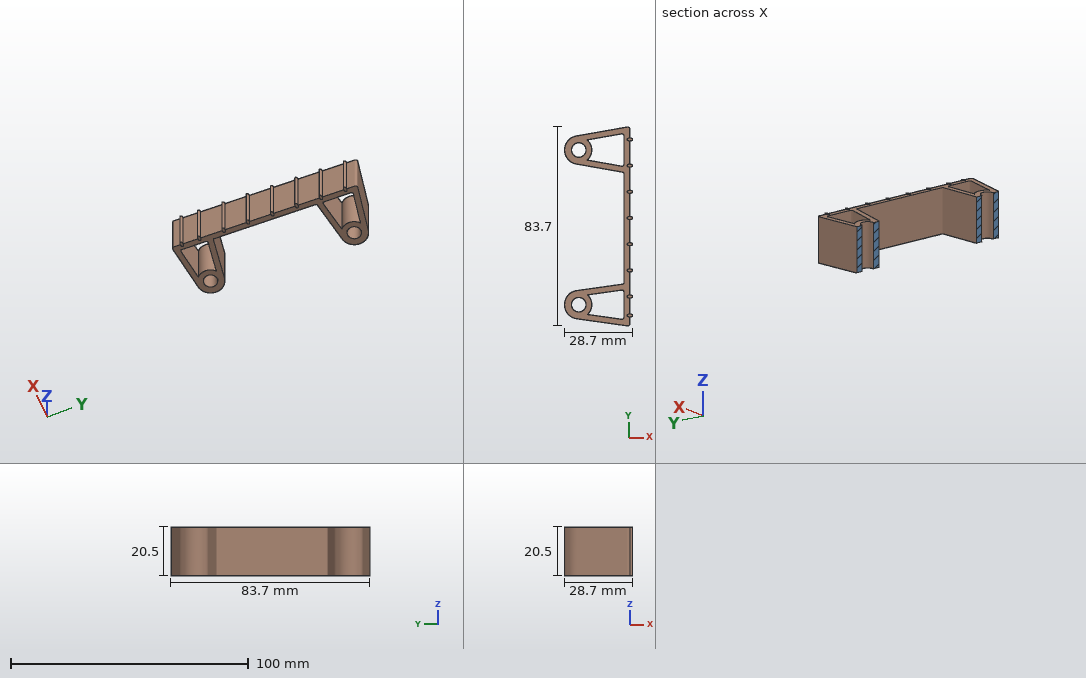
import cadquery as cq
import math

length = 83.7
height = 20.5
frame_depth = 27.5
wall = 2.5
wall_inner_x = frame_depth - wall

nose_radius = 6.0
nose_x = nose_radius
hole_diameter = 6.0
boss_radius = hole_diameter / 2 + wall
upper_arm_angle = 10.0
lower_arm_angle = 8.0
corner_radius = 1.0
pocket_corner_radius = 0.8
inside_corner_radius = 0.5

overall_depth = 28.7
strip_half_length = overall_depth - frame_depth
strip_width = 1.3
first_strip_y = 36.6
last_regular_strip_y = -29.45
regular_strip_count = 7
strip_pitch = (first_strip_y - last_regular_strip_y) / (regular_strip_count - 1)
last_strip_y = -37.4
strip_places = [first_strip_y - i * strip_pitch for i in range(regular_strip_count)] + [last_strip_y]


def bracket_center(arm_angle):
    """Distance of the nose centre from Y = 0 that puts the rounded outer corner at the frame's end."""
    angle = math.radians(arm_angle)
    corner_center_x = frame_depth - corner_radius
    arm_rise = (nose_radius - corner_radius) / math.cos(angle) + (corner_center_x - nose_x) * math.tan(angle)
    return length / 2 - corner_radius - arm_rise


def tapered_outline(radius, arm_angle, end_x, center_y):
    """Prism with a round nose and straight sides tangent to it, cut off at end_x."""
    angle = math.radians(arm_angle)
    tangent_x = nose_x - radius * math.sin(angle)
    tangent_y = radius * math.cos(angle)
    end_y = radius / math.cos(angle) + (end_x - nose_x) * math.tan(angle)
    return (
        cq.Workplane("XY")
        .moveTo(end_x, center_y - end_y)
        .lineTo(end_x, center_y + end_y)
        .lineTo(tangent_x, center_y + tangent_y)
        .threePointArc((nose_x - radius, center_y), (tangent_x, center_y - tangent_y))
        .close()
        .extrude(height)
    )


def cylinder(radius, center_y):
    return cq.Workplane("XY").center(nose_x, center_y).circle(radius).extrude(height)


def make_pocket(arm_angle, center_y):
    """Space between the arms, the boss and the back wall."""
    pocket = tapered_outline(nose_radius - wall, arm_angle, wall_inner_x, center_y)
    pocket = pocket.edges("|Z and >X").fillet(pocket_corner_radius)
    nose_side = cq.Workplane("XY").box(nose_x, length, height, centered=False)
    nose_side = nose_side.translate((0, center_y - length / 2, 0))
    return pocket.cut(nose_side).cut(cylinder(boss_radius, center_y))


def strip_prism(center_y):
    """Upright strip of elliptical section, centred on the rear face."""
    return (
        cq.Workplane("XY")
        .center(frame_depth, center_y)
        .ellipse(strip_half_length, strip_width / 2)
        .extrude(height)
    )


def make_frame():
    upper_y = bracket_center(upper_arm_angle)
    lower_y = -bracket_center(lower_arm_angle)
    brackets = [(upper_arm_angle, upper_y), (lower_arm_angle, lower_y)]

    body = cq.Workplane("XY").box(wall, upper_y - lower_y, height, centered=False)
    body = body.translate((wall_inner_x, lower_y, 0))
    for arm_angle, center_y in brackets:
        body = body.union(tapered_outline(nose_radius, arm_angle, frame_depth, center_y))

    body = body.edges("|Z and >X").fillet(corner_radius)
    corner_band = cq.selectors.BoxSelector(
        (wall_inner_x - wall / 2, lower_y, 0), (wall_inner_x + wall / 2, upper_y, height)
    )
    body = body.edges("|Z").edges(corner_band).fillet(inside_corner_radius)

    for arm_angle, center_y in brackets:
        body = body.cut(make_pocket(arm_angle, center_y))
        body = body.cut(cylinder(hole_diameter / 2, center_y))

    for strip_y in strip_places:
        body = body.cut(strip_prism(strip_y))
    return body.solids()


frame = make_frame()
strips = [strip_prism(strip_y) for strip_y in strip_places]

result = cq.Compound.makeCompound([frame.val(), *[strip.val() for strip in strips]])